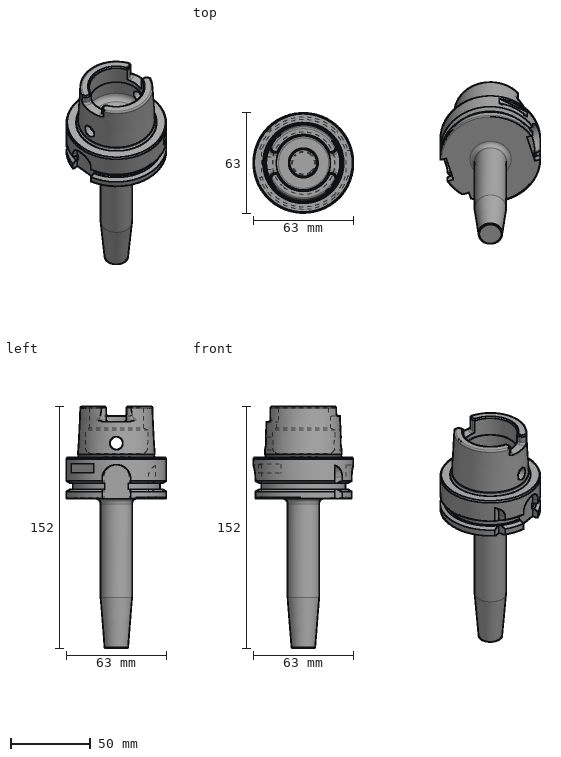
import cadquery as cq
import math

taper_length = 32.0
tool_length = 120.0

taper_base_radius = 24.33
taper_slope = 0.05
rim_fillet = 1.1
bore_chamfer = 0.9
taper_top_radius = taper_base_radius - taper_slope * taper_length

relief_height = 2.0
relief_depth = 0.4
relief_fillet = 1.0
face_recess_radius = 25.4
face_recess_depth = 0.3

bore_radius = 17.0
bore_lip_bottom = 18.7
undercut_radius = 19.6
undercut_shoulder_angle = 30.0
bore_floor_fillet = 3.8
bore_floor = 2.6
centre_recess_radius = 9.3
centre_recess_floor_radius = 8.5
centre_recess_depth = 2.0

flange_radius = 31.5
flange_thickness = 26.0
flange_top_chamfer_width = 0.7
flange_top_chamfer_height = 1.2
flange_bottom_fillet = 0.8
groove_centre = -18.125
groove_floor_width = 3.75
groove_floor_radius = 27.5
groove_flank_inner_radius = 29.0
groove_flank_angle = 30.0

shank_radius = 10.0
neck_fillet = 3.0
tip_radius = 7.5
tip_chamfer = 0.6
nose_length = 32.0

rim_slot_width = 12.54
lug_corner_radius = 3.0
lug_corner_reach = 23.08
rim_slot_floor_fillet = 1.3
rim_slot_mouth_chamfer = 0.9
deep_rim_slot_floor = 22.3
shallow_rim_slot_floor = 26.0

cross_hole_diameter = 8.0
cross_hole_height = 8.9

wide_key_slot_width = 18.0
narrow_key_slot_width = 16.0
key_slot_floor = 26.5
key_slot_top = -4.6

notch_floor = 19.7
notch_wall = 19.9
notch_end_radius = 8.0
notch_end_centre = -12.2

flat_width = 20.0
flat_top = -3.9
flat_bottom = -9.7
flat_direction = 135.0

far = 2 * flange_radius


def spin(profile):
    """Turn a closed XZ profile around the Z axis."""
    return profile.revolve(360, (0, 0, 0), (0, 1, 0))


def outer_body():
    flank_height = (flange_radius - groove_flank_inner_radius) * math.tan(math.radians(groove_flank_angle))
    groove_top = groove_centre + groove_floor_width / 2
    groove_bottom = groove_centre - groove_floor_width / 2
    relief_radius = taper_base_radius - relief_depth
    shank_top = -flange_thickness - neck_fillet
    relief_middle = relief_fillet * (1 - math.sqrt(0.5))
    edge_middle = flange_bottom_fillet * math.sqrt(0.5)
    edge_centre_radius = flange_radius - flange_bottom_fillet
    edge_centre_z = flange_bottom_fillet - flange_thickness
    neck_middle = neck_fillet * (1 - math.sqrt(0.5))
    profile = (
        cq.Workplane("XZ")
        .moveTo(0, taper_length)
        .lineTo(taper_top_radius, taper_length)
        .lineTo(taper_base_radius - taper_slope * relief_height, relief_height)
        .lineTo(relief_radius, relief_height - relief_depth)
        .lineTo(relief_radius, relief_fillet - face_recess_depth)
        .threePointArc(
            (relief_radius + relief_middle, relief_middle - face_recess_depth),
            (relief_radius + relief_fillet, -face_recess_depth),
        )
        .lineTo(face_recess_radius - face_recess_depth, -face_recess_depth)
        .lineTo(face_recess_radius, 0)
        .lineTo(flange_radius - flange_top_chamfer_width, 0)
        .lineTo(flange_radius, -flange_top_chamfer_height)
        .lineTo(flange_radius, groove_top + flank_height)
        .lineTo(groove_flank_inner_radius, groove_top)
        .lineTo(groove_floor_radius, groove_top)
        .lineTo(groove_floor_radius, groove_bottom)
        .lineTo(groove_flank_inner_radius, groove_bottom)
        .lineTo(flange_radius, groove_bottom - flank_height)
        .lineTo(flange_radius, edge_centre_z)
        .threePointArc(
            (edge_centre_radius + edge_middle, edge_centre_z - edge_middle),
            (edge_centre_radius, -flange_thickness),
        )
        .lineTo(shank_radius + neck_fillet, -flange_thickness)
        .threePointArc(
            (shank_radius + neck_middle, -flange_thickness - neck_middle),
            (shank_radius, shank_top),
        )
        .lineTo(shank_radius, nose_length - tool_length)
        .lineTo(tip_radius, tip_chamfer - tool_length)
        .lineTo(tip_radius - tip_chamfer, -tool_length)
        .lineTo(0, -tool_length)
        .close()
    )
    return spin(profile)


def bore():
    shoulder_height = (undercut_radius - bore_radius) * math.tan(math.radians(undercut_shoulder_angle))
    fillet_middle = bore_floor_fillet * (1 - math.sqrt(0.5))
    profile = (
        cq.Workplane("XZ")
        .moveTo(0, taper_length)
        .lineTo(bore_radius + bore_chamfer, taper_length)
        .lineTo(bore_radius, taper_length - bore_chamfer)
        .lineTo(bore_radius, bore_lip_bottom)
        .lineTo(undercut_radius, bore_lip_bottom - shoulder_height)
        .lineTo(undercut_radius, bore_floor + bore_floor_fillet)
        .threePointArc(
            (undercut_radius - fillet_middle, bore_floor + fillet_middle),
            (undercut_radius - bore_floor_fillet, bore_floor),
        )
        .lineTo(centre_recess_radius, bore_floor)
        .lineTo(centre_recess_floor_radius, bore_floor - centre_recess_depth)
        .lineTo(0, bore_floor - centre_recess_depth)
        .close()
    )
    return spin(profile)


def rim_slot_outline(height):
    """Plan outline of a slot on the +X side.

    Each side wall runs out along X, turns around the rounded lug corner until it is square to
    the radius through the corner centre, and leaves the taper along a straight tangent there.
    """
    half_width = rim_slot_width / 2
    corner_y = half_width + lug_corner_radius
    corner_distance = lug_corner_reach - lug_corner_radius
    corner_x = math.sqrt(corner_distance**2 - corner_y**2)
    corner_angle = math.atan2(corner_y, corner_x)
    middle_angle = (corner_angle - math.pi / 2) / 2
    middle_x = corner_x + lug_corner_radius * math.cos(middle_angle)
    middle_y = corner_y + lug_corner_radius * math.sin(middle_angle)
    touch_x = lug_corner_reach * math.cos(corner_angle)
    touch_y = lug_corner_reach * math.sin(corner_angle)
    exit_x = touch_x - rim_slot_width * math.sin(corner_angle)
    exit_y = touch_y + rim_slot_width * math.cos(corner_angle)
    return (
        cq.Workplane("XY", origin=(0, 0, height))
        .moveTo(0, -half_width)
        .lineTo(corner_x, -half_width)
        .threePointArc((middle_x, -middle_y), (touch_x, -touch_y))
        .lineTo(exit_x, -exit_y)
        .lineTo(flange_radius, -exit_y)
        .lineTo(flange_radius, exit_y)
        .lineTo(exit_x, exit_y)
        .lineTo(touch_x, touch_y)
        .threePointArc((middle_x, middle_y), (corner_x, half_width))
        .lineTo(0, half_width)
        .close()
    )


def rim_slot(floor):
    """Cutter for a slot on the +X side with a rounded floor edge and a chamfered mouth."""
    slot = rim_slot_outline(floor).extrude(taper_length - floor)
    slot = slot.faces("<Z").edges().fillet(rim_slot_floor_fillet)
    mouth_bottom = taper_length - rim_slot_mouth_chamfer
    mouth = rim_slot_outline(mouth_bottom).extrude(rim_slot_mouth_chamfer, taper=-45)
    return slot.union(mouth)


def cross_hole():
    return (
        cq.Workplane("YZ", origin=(-far, 0, cross_hole_height))
        .circle(cross_hole_diameter / 2)
        .extrude(2 * far)
    )


def key_slot(side, width):
    """Round-topped slot, open at the flange underside; side is +1 or -1 along X."""
    half_width = width / 2
    arc_centre = key_slot_top - half_width
    return (
        cq.Workplane("YZ", origin=(side * key_slot_floor, 0, 0))
        .moveTo(-half_width, -far)
        .lineTo(-half_width, arc_centre)
        .threePointArc((0, key_slot_top), (half_width, arc_centre))
        .lineTo(half_width, -far)
        .close()
        .extrude(side * far)
    )


def notch():
    """Slot at the +X, -Y corner of the flange, with a round top, opening outwards and downwards."""
    centre_y = -notch_wall - notch_end_radius
    return (
        cq.Workplane("YZ", origin=(notch_floor, 0, 0))
        .moveTo(-notch_wall, -flange_thickness - neck_fillet)
        .lineTo(-notch_wall, notch_end_centre)
        .threePointArc(
            (centre_y, notch_end_centre + notch_end_radius),
            (centre_y - notch_end_radius, notch_end_centre),
        )
        .lineTo(centre_y - notch_end_radius, -flange_thickness - neck_fillet)
        .close()
        .extrude(far)
    )


def flat():
    """Rectangular flat milled as a chord of the flange."""
    depth = flange_radius - math.sqrt(flange_radius**2 - (flat_width / 2) ** 2)
    height = flat_top - flat_bottom
    return (
        cq.Workplane("XY")
        .box(2 * depth, 2 * flat_width, height)
        .translate((flange_radius, 0, flat_bottom + height / 2))
        .rotate((0, 0, 0), (0, 0, 1), flat_direction)
    )


result = outer_body().faces(">Z").edges().fillet(rim_fillet)
result = result.cut(rim_slot(shallow_rim_slot_floor))
result = result.cut(rim_slot(deep_rim_slot_floor).mirror("YZ"))
result = result.cut(bore()).cut(cross_hole())
result = result.cut(key_slot(-1, wide_key_slot_width)).cut(key_slot(1, narrow_key_slot_width))
result = result.cut(notch()).cut(flat())